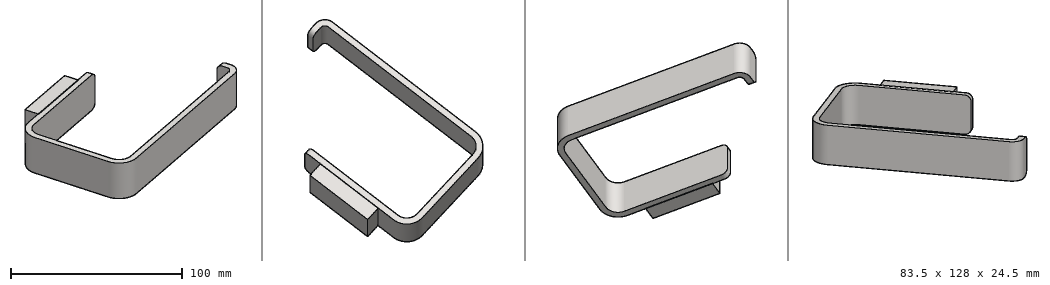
import cadquery as cq

thickness = 4.0
strip_height = 24.5
length = 128.0
strip_width = 74.0
short_arm_length = 79.7
hook_length = 14.2
bend_radius = 12.0
hook_bend_radius = 7.0
end_radius = 4.0

block_depth = 9.5
block_length = 44.0
block_height = 23.5
block_start = 23.7

inner_right = strip_width - thickness
inner_top = length - thickness
hook_tip = strip_width - hook_length


def nearest(x, y):
    return cq.selectors.NearestToPointSelector((x, y, 0))


def square_strip():
    """Strip with sharp bends, centred on Z = 0."""
    outline = [
        (0, 0),
        (strip_width, 0),
        (strip_width, length),
        (hook_tip, length),
        (hook_tip, inner_top),
        (inner_right, inner_top),
        (inner_right, thickness),
        (thickness, thickness),
        (thickness, short_arm_length),
        (0, short_arm_length),
    ]
    return cq.Workplane("XY").polyline(outline).close().extrude(strip_height / 2, both=True)


def round_bends(strip):
    """Round each bend with concentric arcs so the thickness stays constant."""
    bends = [
        ((0, 0), (thickness, thickness), bend_radius),
        ((strip_width, 0), (inner_right, thickness), bend_radius),
        ((strip_width, length), (inner_right, inner_top), hook_bend_radius),
    ]
    for outer, inner, radius in bends:
        strip = strip.edges("|Z").edges(nearest(*outer)).fillet(radius)
        strip = strip.edges("|Z").edges(nearest(*inner)).fillet(radius - thickness)
    return strip


def round_free_ends(strip):
    """Round the upper and lower corners of the short arm and the hook."""
    arm_end = nearest(thickness / 2, short_arm_length)
    strip = strip.faces(arm_end).edges("|X").fillet(end_radius)
    hook_end = nearest(hook_tip, length - thickness / 2)
    return strip.faces(hook_end).edges("|Y").fillet(end_radius)


def mounting_block():
    block = cq.Workplane("XY").box(block_depth, block_length, block_height, centered=(False, False, True))
    return block.translate((-block_depth, block_start, 0))


strip = round_free_ends(round_bends(square_strip()))
result = strip.union(mounting_block())